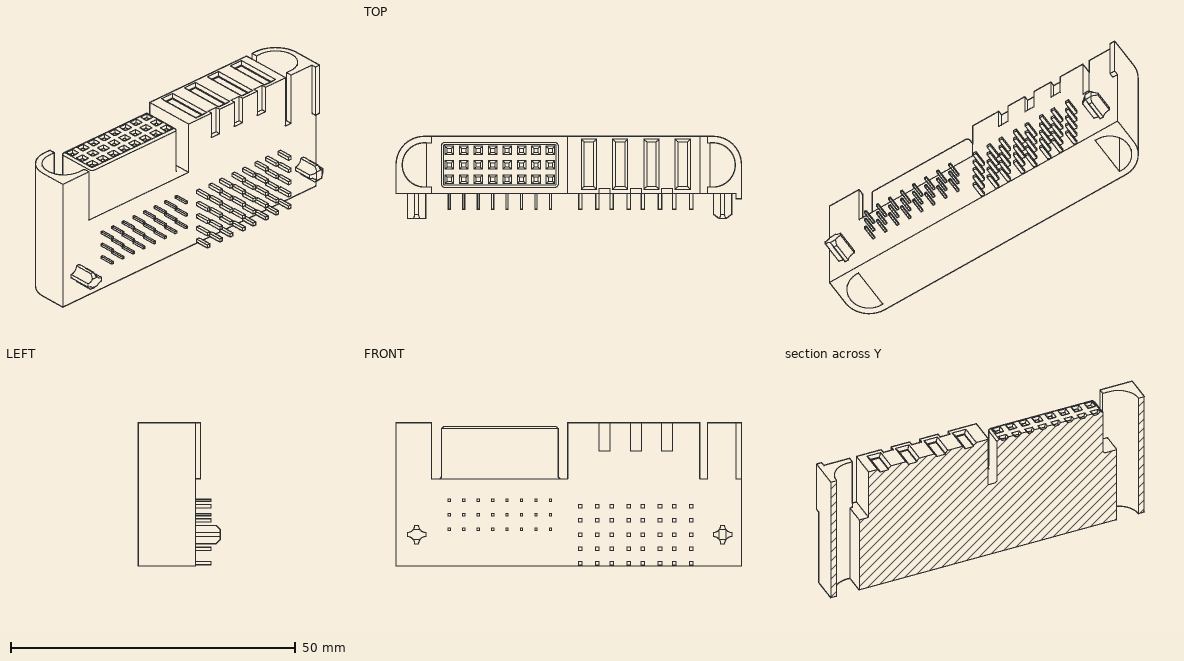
import cadquery as cq
import math


def centred_row(middle, pitch, count):
    """Evenly pitched coordinates, symmetric about the middle."""
    return [middle + (i - (count - 1) / 2) * pitch for i in range(count)]


LENGTH = 60.76
DEPTH = 10.1
HEIGHT = 25.22
END_RADIUS = 5.0

SLOT_DEPTH = 9.9
FLOOR_Z = HEIGHT - SLOT_DEPTH
LEFT_POST_END = 6.27
POWER_BLOCK_START = 30.2
POWER_BLOCK_END = 53.45
RIGHT_POST_START = 54.75

BORE_RADIUS = 3.87
BORE_INSET = 5.0
BORE_Y = DEPTH / 2
LEFT_BORE_FLAT = 5.35
RIGHT_BORE_FLAT = 55.25

TAB_WIDTH = 1.0
TAB_THICKNESS = 0.9

PITCH = 2.54
SIGNAL_COLUMNS = 8
SIGNAL_ROWS = 3
SIGNAL_X = 18.27
SIGNAL_XS = centred_row(SIGNAL_X, PITCH, SIGNAL_COLUMNS)
SIGNAL_Y = DEPTH / 2
SIGNAL_LENGTH = 20.56
SIGNAL_WIDTH = 7.9
SIGNAL_TOP = 24.55
SIGNAL_CORNER_RADIUS = 0.6
SIGNAL_TOP_CHAMFER = 0.4
SIGNAL_FOOT_RADIUS = 0.5
SOCKET_MOUTH = 1.5
SOCKET_BORE = 0.76
SOCKET_LEAD = 0.4
SOCKET_DEPTH = 0.45

POWER_COUNT = 4
POWER_PITCH = 5.5
POWER_FIRST_X = 33.92
POWER_XS = [POWER_FIRST_X + i * POWER_PITCH for i in range(POWER_COUNT)]
BLADE_Y = 5.17
BLADE_WIDTH = 1.65
BLADE_LENGTH = 7.8
BLADE_LEAD = 0.5
BLADE_DEPTH = 0.7
NOTCH_WIDTH = 1.92
NOTCH_DEPTH = 0.9
NOTCH_HEIGHT = 5.0

PIN_LENGTH = 2.75
SIGNAL_PIN = 0.4
SIGNAL_PIN_Z = 9.03
POWER_PIN = 0.64
POWER_PIN_OFFSET = 1.5
POWER_PIN_ROWS = 5
POWER_PIN_ROW_PITCH = 2.5
POWER_PIN_FIRST_Z = 0.53

PEG_LENGTH = 4.38
PEG_SPAN = 3.24
PEG_ARM = 0.7
PEG_TIP_LENGTH = 0.75
PEG_TIP_TAPER_Z = 0.75
LEFT_PEG_TIP_TAPER_X = 0.0
RIGHT_PEG_TIP_TAPER_X = 1.0
PEG_Z = 5.55
LEFT_PEG_X = 3.64
RIGHT_PEG_X = 57.43


def box(x0, x1, y0, y1, z0, z1):
    """Axis-aligned block between two opposite corners."""
    return cq.Workplane("XY").box(x1 - x0, y1 - y0, z1 - z0, centered=False).translate((x0, y0, z0))


def grid(x_values, other_values):
    """All pairs of the two coordinate lists."""
    return [(x, other) for x in x_values for other in other_values]


def lead_in_pockets(points, top, size_x, size_y, lead_width, lead_depth, depth):
    """Blind rectangular pockets, each with a mouth that slopes in by lead_width per side."""
    slope = math.degrees(math.atan2(lead_width, lead_depth))
    face = cq.Workplane("XY", origin=(0, 0, top)).pushPoints(points)
    mouths = face.rect(size_x + 2 * lead_width, size_y + 2 * lead_width).extrude(-lead_depth, taper=slope)
    wells = (
        cq.Workplane("XY", origin=(0, 0, top - depth))
        .pushPoints(points)
        .rect(size_x, size_y)
        .extrude(depth - lead_depth)
    )
    return mouths.union(wells)


def housing():
    body = box(0, LENGTH, 0, DEPTH, 0, HEIGHT)
    body = body.edges("|Z and >Y").fillet(END_RADIUS)
    body = body.cut(box(LEFT_POST_END, POWER_BLOCK_START, 0, DEPTH, FLOOR_Z, HEIGHT))
    body = body.cut(box(POWER_BLOCK_END, RIGHT_POST_START, 0, DEPTH, FLOOR_Z, HEIGHT))
    tab = box(LENGTH - TAB_WIDTH, LENGTH, -TAB_THICKNESS, TAB_THICKNESS, FLOOR_Z, HEIGHT)
    return body.union(tab)


def guide_bore(center_x, flat_x, slot_x):
    """Round bore closed by a flat, opening into the neighbouring slot above the slot floor."""
    y0 = BORE_Y - BORE_RADIUS
    y1 = BORE_Y + BORE_RADIUS
    circle = cq.Workplane("XY", origin=(center_x, BORE_Y, 0)).circle(BORE_RADIUS).extrude(HEIGHT)
    far_x = center_x + math.copysign(BORE_RADIUS, center_x - flat_x)
    bore = circle.intersect(box(min(far_x, flat_x), max(far_x, flat_x), y0, y1, 0, HEIGHT))
    straight = box(min(center_x, flat_x), max(center_x, flat_x), y0, y1, 0, HEIGHT)
    opening = box(min(center_x, slot_x), max(center_x, slot_x), y0, y1, FLOOR_Z, HEIGHT)
    return bore.union(straight).union(opening)


def add_signal_block(body):
    """Rounded contact block on the slot floor, with a filleted foot and an array of sockets."""
    block = (
        cq.Workplane("XY", origin=(SIGNAL_X, SIGNAL_Y, FLOOR_Z))
        .rect(SIGNAL_LENGTH, SIGNAL_WIDTH)
        .extrude(SIGNAL_TOP - FLOOR_Z)
        .edges("|Z")
        .fillet(SIGNAL_CORNER_RADIUS)
        .faces(">Z")
        .chamfer(SIGNAL_TOP_CHAMFER)
    )
    body = body.union(block)
    reach_x = SIGNAL_LENGTH / 2 + SIGNAL_FOOT_RADIUS
    reach_y = SIGNAL_WIDTH / 2 + SIGNAL_FOOT_RADIUS
    foot_edges = cq.selectors.BoxSelector(
        (SIGNAL_X - reach_x, SIGNAL_Y - reach_y, FLOOR_Z - SIGNAL_FOOT_RADIUS),
        (SIGNAL_X + reach_x, SIGNAL_Y + reach_y, FLOOR_Z + SIGNAL_FOOT_RADIUS),
    )
    body = body.edges(foot_edges).fillet(SIGNAL_FOOT_RADIUS)
    sockets = lead_in_pockets(
        grid(SIGNAL_XS, centred_row(SIGNAL_Y, PITCH, SIGNAL_ROWS)),
        SIGNAL_TOP,
        SOCKET_BORE,
        SOCKET_BORE,
        (SOCKET_MOUTH - SOCKET_BORE) / 2,
        SOCKET_LEAD,
        SOCKET_DEPTH,
    )
    return body.cut(sockets)


def cut_power_block(body):
    """Blade openings in the top, with relief notches in the front wall between them."""
    blades = lead_in_pockets(
        grid(POWER_XS, [BLADE_Y]), HEIGHT, BLADE_WIDTH, BLADE_LENGTH, BLADE_LEAD, BLADE_LEAD, BLADE_DEPTH
    )
    body = body.cut(blades)
    for x in POWER_XS[:-1]:
        left = x + (POWER_PITCH - NOTCH_WIDTH) / 2
        body = body.cut(box(left, left + NOTCH_WIDTH, 0, NOTCH_DEPTH, HEIGHT - NOTCH_HEIGHT, HEIGHT))
    return body


def pins(points, size):
    """Square pins standing out of the front face at the given (x, z) points."""
    return cq.Workplane("XZ").pushPoints(points).rect(size, size).extrude(PIN_LENGTH)


def signal_pins():
    return pins(grid(SIGNAL_XS, centred_row(SIGNAL_PIN_Z, PITCH, SIGNAL_ROWS)), SIGNAL_PIN)


def power_pins():
    columns = [x + side * POWER_PIN_OFFSET for x in POWER_XS for side in (-1, 1)]
    rows = [POWER_PIN_FIRST_Z + i * POWER_PIN_ROW_PITCH for i in range(POWER_PIN_ROWS)]
    return pins(grid(columns, rows), POWER_PIN)


def tapered_bar(plane, taper):
    """Square bar along -Y whose tip narrows by taper on the two sides lying in the plane."""
    half = PEG_SPAN / 2
    shoulder = PEG_LENGTH - PEG_TIP_LENGTH
    outline = [
        (-half, 0),
        (-half, -shoulder),
        (taper - half, -PEG_LENGTH),
        (half - taper, -PEG_LENGTH),
        (half, -shoulder),
        (half, 0),
    ]
    return cq.Workplane(plane).polyline(outline).close().extrude(half, both=True)


def peg(x, taper_x):
    """Cross-shaped peg with a concave flute between neighbouring arms."""
    plane_zy = cq.Plane(origin=(0, 0, 0), xDir=(0, 0, 1), normal=(-1, 0, 0))
    core = tapered_bar(plane_zy, PEG_TIP_TAPER_Z).intersect(tapered_bar("XY", taper_x))
    flutes = (
        cq.Workplane("XZ")
        .rect(PEG_SPAN, PEG_SPAN, forConstruction=True)
        .vertices()
        .circle((PEG_SPAN - PEG_ARM) / 2)
        .extrude(PEG_LENGTH)
    )
    return core.cut(flutes).translate((x, 0, PEG_Z))


result = housing()
result = result.cut(guide_bore(BORE_INSET, LEFT_BORE_FLAT, LEFT_POST_END))
result = result.cut(guide_bore(LENGTH - BORE_INSET, RIGHT_BORE_FLAT, RIGHT_POST_START))
result = cut_power_block(result)
result = add_signal_block(result)
result = result.union(signal_pins())
result = result.union(power_pins())
result = result.union(peg(LEFT_PEG_X, LEFT_PEG_TIP_TAPER_X))
result = result.union(peg(RIGHT_PEG_X, RIGHT_PEG_TIP_TAPER_X))